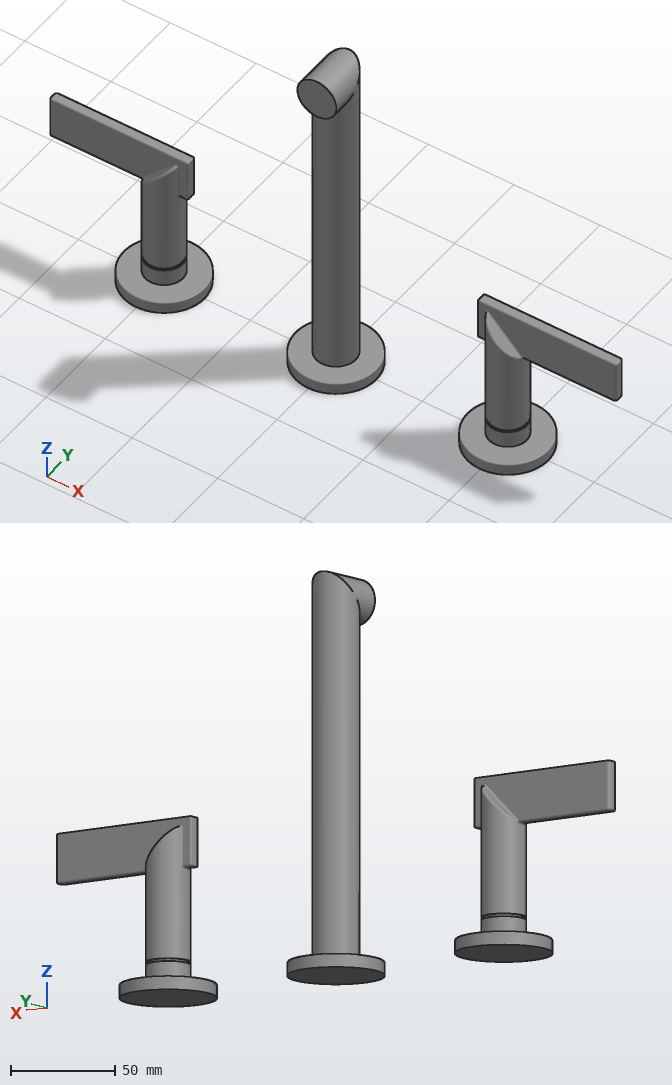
import cadquery as cq

total_width = 330.0
spout_height = 195.5
handle_spacing = 100.0

flange_diameter = 47.0
flange_thickness = 6.5
flange_edge_round = 0.5

spout_diameter = 22.8
spout_reach = 16.2

post_diameter = 21.8
groove_bottom = 16.2
groove_width = 1.3
groove_depth = 1.0
miter_edge_round = 1.0

lever_bottom = 62.5
lever_height = 24.5
lever_thickness = 6.0
lever_overhang = 5.0
lever_edge_round = 1.0
lever_tip_round = 1.5
junction_round = 1.0

edge_samples = (0.1, 0.5, 0.9)
contact_tolerance = 0.0003

spout_radius = spout_diameter / 2
post_radius = post_diameter / 2
lever_inner_end = post_radius + lever_overhang
lever_outer_end = total_width / 2 - handle_spacing
lever_length = lever_inner_end + lever_outer_end


def make_flange():
    """Round base plate with a softened upper edge, standing on Z = 0."""
    flange = cq.Workplane("XY").circle(flange_diameter / 2).extrude(flange_thickness)
    return flange.faces(">Z").edges().fillet(flange_edge_round)


def make_spout():
    """Upright tube turning toward -Y through a 45 degree miter, on its flange."""
    axis_height = spout_height - spout_radius
    upright = cq.Workplane("XY").circle(spout_radius).extrude(spout_height)
    below_miter = (
        cq.Workplane("YZ", origin=(-spout_radius, 0, 0))
        .polyline([
            (-spout_radius, 0),
            (spout_radius, 0),
            (spout_radius, spout_height),
            (-spout_radius, axis_height - spout_radius),
        ])
        .close()
        .extrude(spout_diameter)
    )
    outlet = (
        cq.Workplane("XZ", origin=(0, spout_radius, axis_height))
        .circle(spout_radius)
        .extrude(spout_radius + spout_reach)
    )
    outlet = outlet.cut(below_miter)
    return make_flange().union(upright.intersect(below_miter)).union(outlet)


def make_post():
    """Handle post with its top cut at 45 degrees, high on the +X side."""
    miter_top = lever_bottom + post_diameter
    post = cq.Workplane("XY").circle(post_radius).extrude(miter_top)
    above_miter = (
        cq.Workplane("XZ", origin=(0, post_radius, 0))
        .polyline([
            (-post_radius, lever_bottom),
            (post_radius, miter_top),
            (-post_radius, miter_top),
        ])
        .close()
        .extrude(post_diameter)
    )
    post = post.cut(above_miter)
    miter_direction = cq.Vector(-1, 0, 1)
    miter_face = post.faces(cq.selectors.DirectionMinMaxSelector(miter_direction))
    return miter_face.edges().fillet(miter_edge_round)


def make_lever():
    """Flat blade reaching toward -X, rounded along all its edges and more at its tip."""
    lever = cq.Workplane("XY").box(lever_length, lever_thickness, lever_height)
    center_x = (lever_inner_end - lever_outer_end) / 2
    center_z = lever_bottom + lever_height / 2
    lever = lever.faces("<X").edges("|Z").fillet(lever_tip_round)
    lever = lever.faces("<Z or >Z or >X").edges().fillet(lever_edge_round)
    return lever.translate((center_x, 0, center_z))


def make_groove():
    """Ring that cuts the narrow groove around the foot of the post."""
    return (
        cq.Workplane("XY", origin=(0, 0, groove_bottom))
        .circle(post_radius)
        .circle(post_radius - groove_depth)
        .extrude(groove_width)
    )


def lies_on_surface(edge, body):
    """True if the edge runs along the outer surface of the body."""
    shell = body.val().Shells()[0]
    samples = [cq.Vertex.makeVertex(*edge.positionAt(t).toTuple()) for t in edge_samples]
    return all(sample.distance(shell) < contact_tolerance for sample in samples)


def join_with_fillet(post, lever):
    """Union of post and lever, filleted along the seam that lies on both of them."""
    joined = post.union(lever)
    seam = [
        edge for edge in joined.edges().vals()
        if lies_on_surface(edge, post) and lies_on_surface(edge, lever)
    ]
    return joined.newObject(seam).fillet(junction_round)


def make_handle():
    """Handle on the Z axis with its lever reaching toward -X."""
    grip = join_with_fillet(make_post(), make_lever())
    return make_flange().union(grip.cut(make_groove()))


spout = make_spout()
left_handle = make_handle().translate((-handle_spacing, 0, 0))
handles = [left_handle, left_handle.mirror("YZ")]

result = cq.Compound.makeCompound([spout.val(), *[handle.val() for handle in handles]])